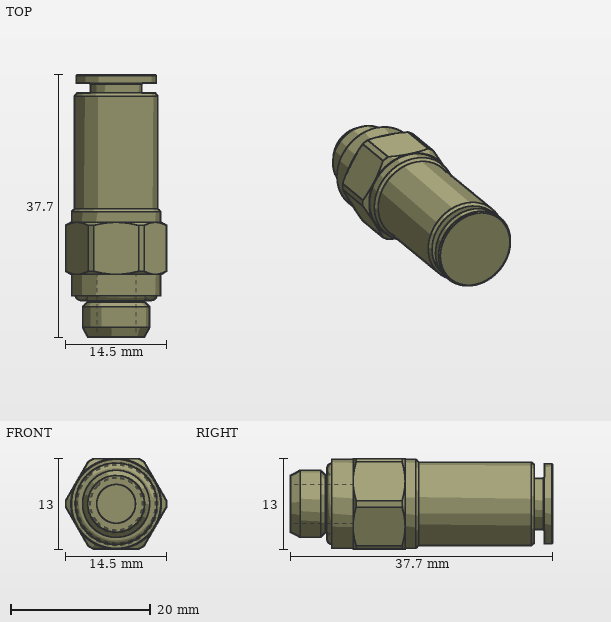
import cadquery as cq
import math

length = 37.7
tip_chamfer_end = 1.4
thread_end = 4.35
neck_start = 5.0
collar_start = 5.92
hex_start = 9.0
hex_end = 16.47
shoulder_end = 18.02
body_start = 18.45
body_chamfer_start = 34.6
body_end = 35.05
flange_root_start = 36.3
flange_start = 36.5
flange_chamfer = 0.2

tip_radius = 4.07
thread_radius = 4.83
neck_radius = 4.15
collar_radius = 6.4
body_radius = 6.0
body_chamfer = 0.38
sleeve_radius = 3.7
flange_root_radius = 3.85
flange_radius = 5.75

seal_radius = 0.85
seal_center_radius = neck_radius + seal_radius
seal_center = 6.1

hex_flats = 13.0
hex_corner_radius = 14.5 / 2
hex_chamfer_angle = 30.0

bore_radius = 2.8
bore_depth = hex_start


def revolve_about_y(profile):
    return profile.close().revolve(360, (0, 0, 0), (0, 1, 0))


def cylinder_along_y(radius, start, end):
    return cq.Workplane("XZ", origin=(0, start, 0)).circle(radius).extrude(start - end)


def make_turned_body():
    profile = (
        cq.Workplane("XY")
        .moveTo(0, 0)
        .lineTo(tip_radius, 0)
        .lineTo(thread_radius, tip_chamfer_end)
        .lineTo(thread_radius, thread_end)
        .lineTo(neck_radius, neck_start)
        .lineTo(neck_radius, collar_start)
        .lineTo(collar_radius, collar_start)
        .lineTo(collar_radius, shoulder_end)
        .lineTo(body_radius, body_start)
        .lineTo(body_radius, body_chamfer_start)
        .lineTo(body_radius - body_chamfer, body_end)
        .lineTo(sleeve_radius, body_end)
        .lineTo(sleeve_radius, flange_root_start)
        .lineTo(flange_root_radius, flange_start)
        .lineTo(flange_radius, flange_start)
        .lineTo(flange_radius, length - flange_chamfer)
        .lineTo(flange_radius - flange_chamfer, length)
        .lineTo(0, length)
    )
    return revolve_about_y(profile)


def make_seal():
    """Round seal ring, partly sunk into the collar face."""
    section = cq.Workplane("XY").center(seal_center_radius, seal_center).circle(seal_radius)
    return section.revolve(360, (-seal_center_radius, 0, 0), (-seal_center_radius, 1, 0))


def make_hexagon():
    """Hexagon with its corners turned down and both ends chamfered by cones."""
    across_corners = hex_flats / math.cos(math.radians(30))
    prism = (
        cq.Workplane("XZ", origin=(0, hex_start, 0))
        .polygon(6, across_corners)
        .extrude(hex_start - hex_end)
    )
    end_radius = hex_flats / 2
    chamfer = (hex_corner_radius - end_radius) * math.tan(math.radians(hex_chamfer_angle))
    envelope = revolve_about_y(
        cq.Workplane("XY")
        .moveTo(0, hex_start)
        .lineTo(end_radius, hex_start)
        .lineTo(hex_corner_radius, hex_start + chamfer)
        .lineTo(hex_corner_radius, hex_end - chamfer)
        .lineTo(end_radius, hex_end)
        .lineTo(0, hex_end)
    )
    return prism.intersect(envelope)


bore = cylinder_along_y(bore_radius, 0, bore_depth)
result = make_turned_body().union(make_hexagon()).union(make_seal()).cut(bore)